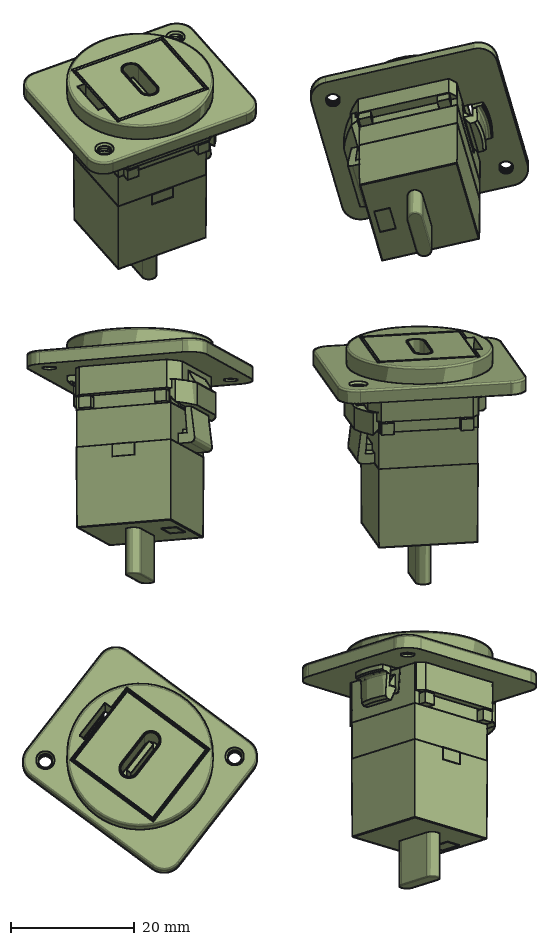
import cadquery as cq


FLANGE_X = 26.0
FLANGE_Y = 31.0
FLANGE_T = 2.3
FLANGE_CORNER_R = 3.1
BEZEL_D = 23.67
BEZEL_R = BEZEL_D / 2
BEZEL_H = 2.85
TOP_Z = FLANGE_T + BEZEL_H
EDGE_FILLET = 0.3

SCREW_X = 9.5
SCREW_Y = 12.0
THREAD_MAJOR_D = 3.0
THREAD_MINOR_D = 2.25
THREAD_PITCH = 0.5
FIRST_CREST_DEPTH = 0.4

HOUSING_X = 14.65
HOUSING_Y = 16.4
HALF_X = HOUSING_X / 2
HALF_Y = HOUSING_Y / 2
WINDOW_CHAMFER = 0.25
HOUSING_SPLIT_Z = -12.95

SKIRT_X = 17.4
SKIRT_BACK_Y = 9.85
SKIRT_BOTTOM_Z = -4.65
SKIRT_CHAMFER = 1.05
NOTCH_Z = -3.12

SLOT_HALF_X = 3.4
SLOT_FRONT_Y = -9.7
SLOT_DRAFT_DEG = 2.5

HOOK_INNER_Y = -9.6
HOOK_TIP_Y = -8.23
HOOK_R = 10.75
HOOK_LEDGE_Z = -3.15
HOOK_BOTTOM_Z = -5.45
HOOK_ROOT_Z = -1.0
HOOK_ROOT_FILLET = 0.35
HOOK_ROOT_CHAMFER = 0.25
HOOK_END_CHAMFER = 0.45
HOOK_SHOULDER_Z = -1.2
HOOK_ROOT_HALF_X = 3.12
HOOK_ARM_HALF_X = 3.0
HOOK_END_HALF_X = 2.73

LATCH_WIDTH = 7.8
CATCH_Y = 11.15
CATCH_TOP_Z = -0.95
CATCH_BOTTOM_Z = -3.05

STEP = 0.05
STEP_Z = -6.82
TAB_TOP_Z = -4.9
TAB_WIDTH = 2.03
TAB_BACK_Y = 6.95
TAB_FRONT_Y = -6.2

BACK_RIB_Y = 8.5
BACK_RIB_TOP_Z = -6.25

POCKET_DEPTH = 0.2
POCKET_HALF_X_TOP = 3.85
POCKET_HALF_X_BOTTOM = 3.47
POCKET_BOTTOM_Z = -4.17
POCKET_CORNER_R = 0.4
BARB_TIP_Y = -9.48
BARB_TOP_Z = -0.9
BARB_BOTTOM_Z = -2.9
BARB_HALF_X_ROOT = 2.57
BARB_HALF_X_TIP = 2.35

HEAD_X = 16.1
HEAD_R = 12.3
HEAD_BACK_Y = 11.6
HEAD_FRONT_Y = 8.3
HEAD_TOP_Z = -3.2
HEAD_BOTTOM_Z = -6.95
HEAD_SLOPE_Z = -5.95
LEVER_FRONT_TOP_Y = 9.32
LEVER_BACK_TOP_Y = 10.37
LEVER_FRONT_FOOT_Y = 9.67
LEVER_BACK_FOOT_Y = 11.1
FOOT_TOP_Z = -11.27
FOOT_FILLET = 0.78
GUSSET_TOP_Z = -10.25
GUSSET_WIDTH = 3.9

SHELL_X = 9.05
SHELL_Y = 3.2
SHELL_WALL = 0.27
SHELL_FLOOR = 0.4
TONGUE_X = 6.0
TONGUE_Y = 0.9
TONGUE_TOP_DEPTH = 1.95

REAR_BOTTOM_Z = -26.3
REAR_DRAFT_DEG = 0.3
REAR_EDGE_CHAMFER = 0.1
SIDE_PAD_STEP = 0.1
SIDE_PAD_H = 2.05
SIDE_PAD_Y = 3.9
BOTTOM_PAD_STEP = 0.1
BOTTOM_PAD_X = 3.9
BOTTOM_PAD_Y = 2.6
BOTTOM_PAD_CENTER_Y = 5.77

PLUG_X = 8.35
PLUG_Y = 2.55
PLUG_EDGE_FILLET = 0.15
OVERALL_Z = 39.0
PLUG_LENGTH = OVERALL_Z - TOP_Z + REAR_BOTTOM_Z
RECEPTACLE_DEPTH = PLUG_LENGTH


def block(x0, x1, y0, y1, z0, z1):
    """Box between opposite corners."""
    return cq.Workplane("XY").box(x1 - x0, y1 - y0, z1 - z0, centered=False).translate((x0, y0, z0))


def side_profile(points, width):
    """Prism of a (y, z) outline, centred on X = 0."""
    return cq.Workplane("YZ").polyline(points).close().extrude(width / 2, both=True)


def front_trapezoid(half_top, z_top, half_bottom, z_bottom, y0, y1):
    """Prism along Y of a symmetric trapezoid standing in XZ."""
    outline = [(-half_top, z_top), (half_top, z_top), (half_bottom, z_bottom), (-half_bottom, z_bottom)]
    return cq.Workplane("XZ", origin=(0, y1, 0)).polyline(outline).close().extrude(y1 - y0)


def stadium(length, width, z0, z1):
    """Upright prism with fully rounded ends."""
    return cq.Workplane("XY", origin=(0, 0, z0)).slot2D(length, width).extrude(z1 - z0)


def threaded_hole(x, y):
    """Cutter for a through hole whose thread is a stack of V grooves, widest at the top face."""
    major_r = THREAD_MAJOR_D / 2
    minor_r = THREAD_MINOR_D / 2
    outline = [(0, FLANGE_T), (major_r, FLANGE_T)]
    crest_z = FLANGE_T - FIRST_CREST_DEPTH
    while crest_z - THREAD_PITCH > 0:
        outline.append((minor_r, crest_z))
        outline.append((major_r, crest_z - THREAD_PITCH / 2))
        crest_z -= THREAD_PITCH
    outline += [(minor_r, crest_z), (minor_r, 0), (0, 0)]
    cutter = cq.Workplane("XZ").polyline(outline).close().revolve(360, (0, 0), (0, 1))
    return cutter.translate((x, y, 0))


def make_skirt():
    """Three-sided wall below the flange, following the bezel cylinder at the back."""
    skirt = block(-SKIRT_X / 2, SKIRT_X / 2, -HALF_Y, SKIRT_BACK_Y, SKIRT_BOTTOM_Z, 0)
    skirt = skirt.edges("|Z and <Y").chamfer(SKIRT_CHAMFER)
    skirt = skirt.intersect(cq.Workplane("XY").circle(BEZEL_R).extrude(SKIRT_BOTTOM_Z))
    skirt = skirt.cut(block(-HALF_X, HALF_X, -HALF_Y, HALF_Y, SKIRT_BOTTOM_Z, 0))
    return skirt.cut(block(-HEAD_X / 2, HEAD_X / 2, HALF_Y, SKIRT_BACK_Y, SKIRT_BOTTOM_Z, NOTCH_Z))


def make_hook():
    """Hanging arm with an inward hook; its outer side is turned about the bezel axis."""
    turned = cq.Workplane("XZ").lineTo(BEZEL_R, 0).lineTo(BEZEL_R, HOOK_ROOT_Z + HOOK_ROOT_CHAMFER)
    turned = turned.lineTo(BEZEL_R - HOOK_ROOT_CHAMFER, HOOK_ROOT_Z)
    turned = turned.lineTo(HOOK_R + HOOK_ROOT_FILLET, HOOK_ROOT_Z)
    turned = turned.radiusArc((HOOK_R, HOOK_ROOT_Z - HOOK_ROOT_FILLET), -HOOK_ROOT_FILLET)
    turned = turned.lineTo(HOOK_R, HOOK_BOTTOM_Z + HOOK_END_CHAMFER)
    turned = turned.lineTo(HOOK_R - HOOK_END_CHAMFER, HOOK_BOTTOM_Z).lineTo(0, HOOK_BOTTOM_Z).close()
    turned = turned.revolve(360, (0, 0), (0, 1))

    inner_side = side_profile(
        [
            (HOOK_INNER_Y, 0),
            (-BEZEL_R, 0),
            (-BEZEL_R, HOOK_BOTTOM_Z),
            (HOOK_INNER_Y + HOOK_END_CHAMFER, HOOK_BOTTOM_Z),
            (HOOK_TIP_Y, HOOK_LEDGE_Z - HOOK_END_CHAMFER),
            (HOOK_TIP_Y, HOOK_LEDGE_Z),
            (HOOK_INNER_Y, HOOK_LEDGE_Z),
        ],
        2 * HOOK_ROOT_HALF_X,
    )
    root = block(-HOOK_ROOT_HALF_X, HOOK_ROOT_HALF_X, -BEZEL_R, HOOK_TIP_Y, HOOK_SHOULDER_Z, 0)
    arm = front_trapezoid(
        HOOK_ARM_HALF_X, HOOK_SHOULDER_Z, HOOK_END_HALF_X, HOOK_BOTTOM_Z, -BEZEL_R, HOOK_TIP_Y
    )
    return inner_side.intersect(turned).intersect(root.union(arm))


def make_catch():
    """Ramp on the back of the skirt that holds the latch head down."""
    outline = [
        (HALF_Y, CATCH_TOP_Z),
        (SKIRT_BACK_Y, CATCH_TOP_Z),
        (CATCH_Y, CATCH_BOTTOM_Z),
        (HALF_Y, CATCH_BOTTOM_Z),
    ]
    return side_profile(outline, LATCH_WIDTH)


def make_frame():
    """Flange, bezel, skirt, hook and catch in one piece."""
    flange = cq.Workplane("XY").rect(FLANGE_X, FLANGE_Y).extrude(FLANGE_T)
    flange = flange.edges("|Z").fillet(FLANGE_CORNER_R).faces(">Z").edges().fillet(EDGE_FILLET)
    bezel = cq.Workplane("XY").circle(BEZEL_R).extrude(TOP_Z)
    bezel = bezel.faces(">Z").edges().fillet(EDGE_FILLET)
    frame = flange.union(bezel)

    window = cq.Workplane("XY").rect(HOUSING_X, HOUSING_Y).extrude(TOP_Z)
    frame = frame.cut(window)
    rim = cq.Workplane("XY", origin=(0, 0, TOP_Z))
    rim = rim.rect(HOUSING_X + 2 * WINDOW_CHAMFER, HOUSING_Y + 2 * WINDOW_CHAMFER)
    frame = frame.cut(rim.extrude(-WINDOW_CHAMFER, taper=45))

    slot = cq.Workplane("XY", origin=(0, SLOT_FRONT_Y / 2, TOP_Z)).rect(2 * SLOT_HALF_X, -SLOT_FRONT_Y)
    frame = frame.cut(slot.extrude(-TOP_Z, taper=SLOT_DRAFT_DEG))

    for side in (-1, 1):
        frame = frame.cut(threaded_hole(side * SCREW_X, -side * SCREW_Y))
    return frame.union(make_skirt()).union(make_hook()).union(make_catch())


def make_latch():
    """Lever standing on a foot at the back of the housing, with a wide curved head."""
    lever = side_profile(
        [
            (HALF_Y - STEP, HOUSING_SPLIT_Z),
            (LEVER_BACK_FOOT_Y, HOUSING_SPLIT_Z),
            (LEVER_BACK_TOP_Y, HEAD_BOTTOM_Z),
            (LEVER_FRONT_TOP_Y, HEAD_BOTTOM_Z),
            (LEVER_FRONT_FOOT_Y, FOOT_TOP_Z),
            (HALF_Y - STEP, FOOT_TOP_Z),
        ],
        LATCH_WIDTH,
    )
    lever = lever.edges("|X and <Z and >Y").fillet(FOOT_FILLET)
    gusset = block(
        -GUSSET_WIDTH / 2, GUSSET_WIDTH / 2, HALF_Y - STEP, LEVER_FRONT_FOOT_Y, FOOT_TOP_Z, GUSSET_TOP_Z
    )
    head = side_profile(
        [
            (HEAD_FRONT_Y, HEAD_TOP_Z),
            (HEAD_BACK_Y, HEAD_TOP_Z),
            (HEAD_BACK_Y, HEAD_BOTTOM_Z),
            (LEVER_FRONT_TOP_Y, HEAD_BOTTOM_Z),
            (HEAD_FRONT_Y, HEAD_SLOPE_Z),
        ],
        HEAD_X,
    )
    head = head.intersect(cq.Workplane("XY").circle(HEAD_R).extrude(HOUSING_SPLIT_Z))
    return lever.union(gusset).union(head)


def make_barb():
    """Ramp on the front face of the housing, just above the frame's hook."""
    ramp = side_profile(
        [
            (-HALF_Y + POCKET_DEPTH, BARB_TOP_Z),
            (-HALF_Y, BARB_TOP_Z),
            (BARB_TIP_Y, BARB_BOTTOM_Z),
            (-HALF_Y + POCKET_DEPTH, BARB_BOTTOM_Z),
        ],
        2 * BARB_HALF_X_ROOT,
    )
    root_y = -HALF_Y + POCKET_DEPTH
    plan = [
        (-BARB_HALF_X_ROOT, root_y),
        (BARB_HALF_X_ROOT, root_y),
        (BARB_HALF_X_TIP, BARB_TIP_Y),
        (-BARB_HALF_X_TIP, BARB_TIP_Y),
    ]
    return ramp.intersect(cq.Workplane("XY").polyline(plan).close().extrude(BARB_BOTTOM_Z))


def make_front_housing():
    """Housing in the frame's window, with snap tabs, barb, latch and a receptacle recess."""
    body = block(-HALF_X, HALF_X, -HALF_Y, HALF_Y, STEP_Z, TOP_Z)
    body = body.faces(">Z").edges().chamfer(WINDOW_CHAMFER)
    lower_x = HALF_X - STEP
    lower_y = HALF_Y - STEP
    body = body.union(block(-lower_x, lower_x, -lower_y, lower_y, HOUSING_SPLIT_Z, STEP_Z))

    for side in (-1, 1):
        for center_y in (TAB_FRONT_Y, TAB_BACK_Y):
            tab = cq.Workplane("XY").box(SKIRT_X / 2, TAB_WIDTH, TAB_TOP_Z - STEP_Z)
            tab_z = (TAB_TOP_Z + STEP_Z) / 2
            body = body.union(tab.translate((side * SKIRT_X / 4, center_y, tab_z)))

    half_rib = LATCH_WIDTH / 2
    body = body.union(block(-half_rib, half_rib, 0, BACK_RIB_Y, STEP_Z, BACK_RIB_TOP_Z))

    pocket = front_trapezoid(
        POCKET_HALF_X_TOP, 0, POCKET_HALF_X_BOTTOM, POCKET_BOTTOM_Z, -HALF_Y, -HALF_Y + POCKET_DEPTH
    )
    pocket = pocket.edges("|Y and <Z").fillet(POCKET_CORNER_R)
    body = body.cut(pocket).union(make_barb())
    body = body.cut(stadium(SHELL_X, SHELL_Y, TOP_Z - RECEPTACLE_DEPTH, TOP_Z))
    return body.union(make_latch())


def make_receptacle():
    """Oval shell flush with the housing top, closed at the bottom, with a contact tongue inside."""
    bottom_z = TOP_Z - RECEPTACLE_DEPTH
    floor_z = bottom_z + SHELL_FLOOR
    shell = stadium(SHELL_X, SHELL_Y, bottom_z, TOP_Z)
    shell = shell.cut(stadium(SHELL_X - 2 * SHELL_WALL, SHELL_Y - 2 * SHELL_WALL, floor_z, TOP_Z))
    tongue_top_z = TOP_Z - TONGUE_TOP_DEPTH
    tongue = block(-TONGUE_X / 2, TONGUE_X / 2, -TONGUE_Y / 2, TONGUE_Y / 2, bottom_z, tongue_top_z)
    return shell.union(tongue)


def make_rear_housing():
    """Slightly drafted block below the front housing, with a low pad on its side and bottom."""
    body = cq.Workplane("XY", origin=(0, 0, HOUSING_SPLIT_Z)).rect(HOUSING_X, HOUSING_Y)
    body = body.extrude(REAR_BOTTOM_Z - HOUSING_SPLIT_Z, taper=REAR_DRAFT_DEG)
    body = body.faces("<Z").edges().chamfer(REAR_EDGE_CHAMFER)
    side_pad = block(
        0, HALF_X + SIDE_PAD_STEP,
        -SIDE_PAD_Y / 2, SIDE_PAD_Y / 2,
        HOUSING_SPLIT_Z - SIDE_PAD_H, HOUSING_SPLIT_Z,
    )
    bottom_pad = block(
        -BOTTOM_PAD_X / 2, BOTTOM_PAD_X / 2,
        BOTTOM_PAD_CENTER_Y - BOTTOM_PAD_Y / 2, BOTTOM_PAD_CENTER_Y + BOTTOM_PAD_Y / 2,
        REAR_BOTTOM_Z - BOTTOM_PAD_STEP, HOUSING_SPLIT_Z,
    )
    return body.union(side_pad).union(bottom_pad)


def make_plug():
    """Oval plug below the rear housing."""
    plug = stadium(PLUG_X, PLUG_Y, REAR_BOTTOM_Z - PLUG_LENGTH, REAR_BOTTOM_Z)
    return plug.faces("<Z").edges().fillet(PLUG_EDGE_FILLET)


frame = make_frame()
front_housing = make_front_housing()
receptacle = make_receptacle()
rear_housing = make_rear_housing()
plug = make_plug()

bodies = [frame, front_housing, receptacle, rear_housing, plug]
result = cq.Compound.makeCompound([solid for body in bodies for solid in body.solids().vals()])